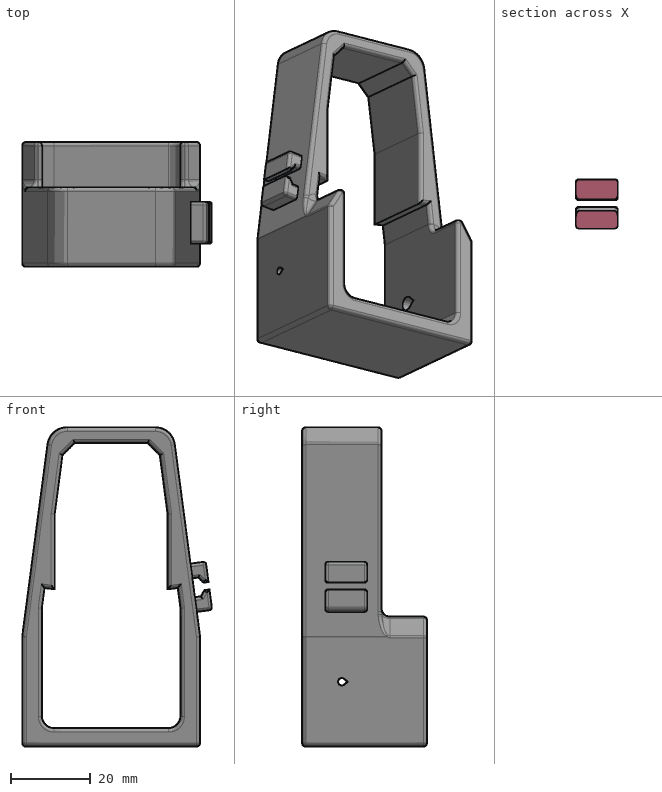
import cadquery as cq
import math

HALF_WIDTH = 22.35
DEPTH = 31.4
HEIGHT = 80.2
TOWER_DEPTH = 20.0
TAPER_START = 27.7
TAPER = math.radians(7.5)
TOP_RADIUS = 5.0
EDGE_RADIUS = 1.0

CAVITY_HALF_WIDTH = 17.35
FLOOR_THICKNESS = 4.7
CAVITY_CORNER_RADIUS = 3.0
CAVITY_TAPER_START = 34.85
LEDGE_Z = 39.8
NECK_HALF_WIDTH = 14.13
NECK_TAPER_START = 58.4
ROOF_THICKNESS = 4.0
ROOF_CHAMFER = 3.0

EAR_TOP = 32.7
EAR_SLOPE = math.radians(33.5)
EAR_BLEND_RADIUS = 2.0

HOLE_Y = 10.0
HOLE_Z = 16.3
LEFT_HOLE_RADIUS = 1.75
RIGHT_HOLE_RADIUS = 0.9
HOLE_TIP_RATIO = 1.6

CLIP_Z = 39.9
CLIP_Y_START = 5.8
CLIP_WIDTH = 10.6
CLIP_HEIGHT = 12.3
CLIP_GAP = 4.7
CLIP_MOUTH = 1.8
CLIP_REACH = 3.88
CLIP_HOOK_START = 1.5
CLIP_HOOK_END = 2.6
CLIP_EDGE_RADIUS = 0.8
CLIP_ROOT = 1.5

PICK = 0.1


def tapered(half_width, start_z, z):
    """Half width at height z of a wall leaning inwards from start_z."""
    return half_width - (z - start_z) * math.tan(TAPER)


def mirrored_prism(right_points, depth):
    """Extrude the outline given by its right half, bottom to top, from Y = 0 to depth."""
    left_points = [(-x, z) for x, z in reversed(right_points)]
    outline = cq.Workplane("XZ").polyline(right_points + left_points).close()
    return outline.extrude(-depth)


def edges_between(body, x_limit, y_range, z_range):
    """Edges whose centres lie within X = -x_limit..x_limit and the given Y and Z ranges."""
    low = (-x_limit, y_range[0], z_range[0])
    high = (x_limit, y_range[1], z_range[1])
    return body.edges(cq.selectors.BoxSelector(low, high))


def make_tower():
    tower = mirrored_prism(
        [
            (HALF_WIDTH, 0),
            (HALF_WIDTH, TAPER_START),
            (tapered(HALF_WIDTH, TAPER_START, HEIGHT), HEIGHT),
        ],
        TOWER_DEPTH,
    )
    return tower.faces(">Z").edges("|Y").fillet(TOP_RADIUS)


def make_base():
    ear_inset = (EAR_TOP - TAPER_START) * math.tan(EAR_SLOPE)
    base = mirrored_prism(
        [
            (HALF_WIDTH, 0),
            (HALF_WIDTH, TAPER_START),
            (HALF_WIDTH - ear_inset, EAR_TOP),
        ],
        DEPTH,
    )
    return base.faces(">Z").edges("|Y").fillet(EDGE_RADIUS)


def make_cavity():
    ledge_outer = tapered(CAVITY_HALF_WIDTH, CAVITY_TAPER_START, LEDGE_Z)
    ledge_drop = (ledge_outer - NECK_HALF_WIDTH) * math.tan(TAPER)
    roof_z = HEIGHT - ROOF_THICKNESS
    shoulder_z = roof_z - ROOF_CHAMFER
    shoulder_x = tapered(NECK_HALF_WIDTH, NECK_TAPER_START, shoulder_z)
    cavity = mirrored_prism(
        [
            (CAVITY_HALF_WIDTH, FLOOR_THICKNESS),
            (CAVITY_HALF_WIDTH, CAVITY_TAPER_START),
            (ledge_outer, LEDGE_Z),
            (NECK_HALF_WIDTH, LEDGE_Z - ledge_drop),
            (NECK_HALF_WIDTH, NECK_TAPER_START),
            (shoulder_x, shoulder_z),
            (shoulder_x - ROOF_CHAMFER, roof_z),
        ],
        DEPTH,
    )
    return cavity.faces("<Z").edges("|Y").fillet(CAVITY_CORNER_RADIUS)


def make_frame():
    tower_back = (TOWER_DEPTH - PICK, TOWER_DEPTH + PICK)
    frame = make_tower().union(make_base())

    ear_roots = edges_between(frame, HALF_WIDTH - PICK, tower_back, (TAPER_START + PICK, EAR_TOP + PICK))
    frame = ear_roots.fillet(EAR_BLEND_RADIUS).cut(make_cavity())

    behind_blend = (TOWER_DEPTH + EAR_BLEND_RADIUS, DEPTH)
    bends = edges_between(frame, HALF_WIDTH + PICK, behind_blend, (TAPER_START - PICK, TAPER_START + PICK))
    frame = bends.fillet(EDGE_RADIUS)

    rims = edges_between(frame, HALF_WIDTH, tower_back, (EAR_TOP + PICK, HEIGHT + PICK))
    for face in ("<Y", ">Y", "<Z"):
        rims = rims.add(frame.faces(face).edges())
    return rims.fillet(EDGE_RADIUS)


def make_hole(radius, x_start, x_end):
    """Teardrop prism along X: a circle with two tangents meeting at a tip towards +Y."""
    tip = HOLE_TIP_RATIO * radius
    tangent_y = radius / HOLE_TIP_RATIO
    tangent_z = math.sqrt(radius**2 - tangent_y**2)
    return (
        cq.Workplane("YZ", origin=(x_start, HOLE_Y, HOLE_Z))
        .moveTo(tip, 0)
        .lineTo(tangent_y, tangent_z)
        .threePointArc((-radius, 0), (tangent_y, -tangent_z))
        .close()
        .extrude(x_end - x_start)
    )


def make_prong(side):
    """One hooked prong; side is +1 for the upper and -1 for the lower one.

    The outline is drawn with its first axis along the wall normal and its
    second along the wall, measured from the middle of the clip.
    """
    wall_plane = cq.Plane(
        origin=(tapered(HALF_WIDTH, TAPER_START, CLIP_Z), CLIP_Y_START, CLIP_Z),
        xDir=(math.cos(TAPER), 0, math.sin(TAPER)),
        normal=(0, -1, 0),
    )
    outer = side * CLIP_HEIGHT / 2
    inner = side * CLIP_GAP / 2
    mouth = side * CLIP_MOUTH / 2
    prong = (
        cq.Workplane(wall_plane)
        .moveTo(-CLIP_ROOT, outer)
        .lineTo(CLIP_REACH, outer)
        .lineTo(CLIP_REACH, mouth)
        .lineTo(CLIP_HOOK_END, mouth)
        .lineTo(CLIP_HOOK_START, inner)
        .lineTo(-CLIP_ROOT, inner)
        .close()
        .extrude(-CLIP_WIDTH)
    )
    end_edges = prong.faces("<Y or >Y").edges()
    outer_corner = prong.edges("|Y").edges(">Z" if side > 0 else ">X")
    return end_edges.add(outer_corner).fillet(CLIP_EDGE_RADIUS)


frame = make_frame()
left_hole = make_hole(LEFT_HOLE_RADIUS, -HALF_WIDTH, 0)
right_hole = make_hole(RIGHT_HOLE_RADIUS, 0, HALF_WIDTH)
frame = frame.cut(left_hole).cut(right_hole)
result = frame.union(make_prong(1)).union(make_prong(-1))